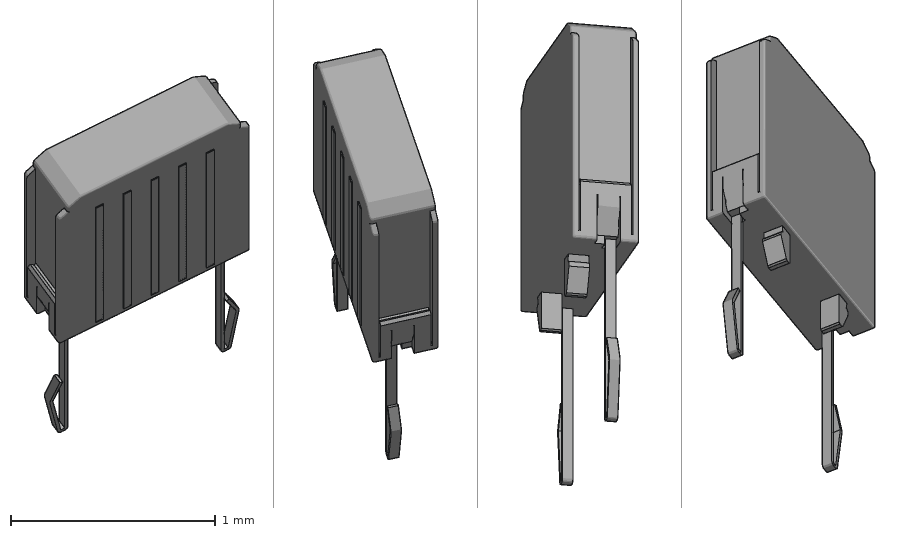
import cadquery as cq

BODY_X = 0.334
BODY_Y = 1.094
BODY_Z = 1.165
LEFT_EDGE_ROUND = 0.010
RIGHT_EDGE_ROUND = 0.014
BOTTOM_ROUND = 0.016

PANEL_DEPTH = 0.050
SHOULDER_Y = 0.075
SHOULDER_Z = 0.045
SHOULDER_SLOPE = SHOULDER_Z / SHOULDER_Y
STEP_Z = 0.078
CORNER_ROUND = 0.03
LEFT_FLANGE = 0.030
RIGHT_FLANGE = 0.032

TONGUE_TOP = 0.314
TONGUE_CHAMFER = 0.015
TONGUE_BACK_Y = 0.036
TONGUE_BACK_DROP = 0.02
SLIT_WIDTH = 0.008
SLIT_BOTTOM = 0.043

SLOT_X = 0.122
SLOT_WIDTH = 0.117
SLOT_TOP = 0.236
SLOT_BEND_Z = 0.16
SLOT_BEND_ROUND = 0.11
SLOT_SLIT_WIDTH = 0.003
SLOT_SLIT_DEPTH = 0.030
SLOT_FLOOR_Z = 0.043
SLOT_DEPTH = 0.050
PIN_POCKET_WIDTH = 0.067
PIN_POCKET_DEPTH = 0.105

PIN_WIDTH = 0.053
PIN_THICKNESS = 0.018
PIN_Y = 0.447
PIN_EMBED = 0.08
PIN_DROP = 0.905
PIN_FOOT_LENGTH = 0.0385
PIN_FOOT_ROUND = 0.019
HOOK_BEND_ROUND = 0.035
HOOK_BEND_Y = 0.533
HOOK_BEND_Z = -0.609
HOOK_TIP_Y = 0.4755
HOOK_TIP_Z = -0.484

BARB_X = 0.032
BARB_WIDTH = 0.104
BARB_EMBED = 0.02
BARB_INNER_Y = 0.242
BARB_ROOT_Y = 0.319
BARB_NECK_Y = 0.313
BARB_TIP_Y = 0.332
BARB_TIP_ROUND = 0.028
BARB_END_Y = 0.279
BARB_NECK_Z = -0.036
BARB_TIP_TOP_Z = -0.048
BARB_TIP_BOTTOM_Z = -0.068
BARB_END_Z = -0.196
BARB_END_CHAMFER = 0.008

BAR_COUNT = 5
BAR_PITCH = 0.158
BAR_WIDTH = 0.043
BAR_HEIGHT = 0.006
BAR_BOTTOM = 0.043
BAR_TOP = 1.013

LEFT = -BODY_X / 2
RIGHT = BODY_X / 2
HALF_Y = BODY_Y / 2
PANEL_Y = HALF_Y - PANEL_DEPTH
FLANGE_TOP = BODY_Z - STEP_Z
RECESS_LEFT = LEFT + LEFT_FLANGE
RECESS_RIGHT = RIGHT - RIGHT_FLANGE
SLOT_LEFT = LEFT + SLOT_X
SLOT_RIGHT = SLOT_LEFT + SLOT_WIDTH
PIN_X = SLOT_RIGHT - PIN_WIDTH / 2
CLEARANCE = 0.05
PICK = 0.001


def prism(points, x_start, x_end):
    """Extrude a (Y, Z) outline between two X positions."""
    return cq.Workplane("YZ", origin=(x_start, 0, 0)).polyline(points).close().extrude(x_end - x_start)


def block(x_range, y_range, z_range):
    """Make a box from its limits along each axis."""
    sizes = [high - low for low, high in (x_range, y_range, z_range)]
    corner = (x_range[0], y_range[0], z_range[0])
    return cq.Workplane("XY").box(*sizes, centered=False).translate(corner)


def both_sides(shape):
    """Join a +Y side shape with its mirror image on the -Y side."""
    return shape.union(shape.mirror("XZ"))


def edges_at(shape, y, z):
    """Select the X-direction edges at both +y and -y, at height z."""
    boxes = []
    for place in (-y, y):
        low = (-BODY_X, place - PICK, z - PICK)
        high = (BODY_X, place + PICK, z + PICK)
        boxes.append(cq.selectors.BoxSelector(low, high))
    return shape.edges("|X").edges(boxes[0] + boxes[1])


def make_envelope():
    """Housing outline with rounded corners and rounded face edges."""
    flange_corner_z = FLANGE_TOP - PANEL_DEPTH * SHOULDER_SLOPE
    half_outline = [
        (HALF_Y, 0),
        (HALF_Y, flange_corner_z),
        (PANEL_Y, FLANGE_TOP),
        (PANEL_Y, BODY_Z - SHOULDER_Z),
        (PANEL_Y - SHOULDER_Y, BODY_Z),
    ]
    outline = half_outline + [(-y, z) for y, z in reversed(half_outline)]
    body = prism(outline, LEFT, RIGHT)
    for y, z in (half_outline[1], half_outline[3], half_outline[4]):
        body = edges_at(body, y, z).fillet(CORNER_ROUND)
    body = edges_at(body, HALF_Y, 0).fillet(BOTTOM_ROUND)
    body = body.faces("<X").edges().fillet(LEFT_EDGE_ROUND)
    return body.faces(">X").edges().fillet(RIGHT_EDGE_ROUND)


def make_panel_recess():
    """Space between the flanges, above and behind the tongue tip."""
    outside = HALF_Y + CLEARANCE
    peak_y = HALF_Y - TONGUE_CHAMFER
    outline = [
        (PANEL_Y, FLANGE_TOP),
        (PANEL_Y, TONGUE_TOP - TONGUE_BACK_DROP),
        (HALF_Y - TONGUE_BACK_Y, TONGUE_TOP - TONGUE_BACK_DROP),
        (peak_y, TONGUE_TOP),
        (HALF_Y, TONGUE_TOP - TONGUE_CHAMFER),
        (outside, TONGUE_TOP - TONGUE_CHAMFER),
        (outside, FLANGE_TOP),
    ]
    recess = prism(outline, RECESS_LEFT, RECESS_RIGHT)
    for slit_left in (RECESS_LEFT, RECESS_RIGHT - SLIT_WIDTH):
        slit_x = (slit_left, slit_left + SLIT_WIDTH)
        recess = recess.union(block(slit_x, (PANEL_Y, outside), (SLIT_BOTTOM, TONGUE_TOP)))
    return recess


def make_pin_slot():
    """Slot with a sloped roof, and the pocket that holds the pin."""
    outside = HALF_Y + CLEARANCE
    back_y = HALF_Y - SLOT_DEPTH
    bend = (HALF_Y, SLOT_BEND_Z)
    outline = [
        (outside, -CLEARANCE),
        (back_y, -CLEARANCE),
        (back_y, SLOT_FLOOR_Z),
        bend,
        (HALF_Y, SLOT_TOP),
        (outside, SLOT_TOP),
    ]
    slot = prism(outline, SLOT_LEFT, SLOT_RIGHT)
    near_bend = cq.selectors.NearestToPointSelector(((SLOT_LEFT + SLOT_RIGHT) / 2, *bend))
    slot = slot.edges("|X").edges(near_bend).fillet(SLOT_BEND_ROUND)
    for slit_left in (SLOT_LEFT, SLOT_RIGHT - SLOT_SLIT_WIDTH):
        slit_x = (slit_left, slit_left + SLOT_SLIT_WIDTH)
        slot = slot.union(block(slit_x, (HALF_Y - SLOT_SLIT_DEPTH, outside), (SLOT_FLOOR_Z, SLOT_TOP)))
    pocket_x = (SLOT_RIGHT - PIN_POCKET_WIDTH, SLOT_RIGHT)
    pocket_y = (HALF_Y - PIN_POCKET_DEPTH, HALF_Y - SLOT_DEPTH + CLEARANCE)
    return slot.union(block(pocket_x, pocket_y, (-CLEARANCE, SLOT_FLOOR_Z)))


def make_pin():
    """Straight leg bent back up into an outward hook."""
    foot_z = PIN_THICKNESS / 2 - PIN_DROP
    path = cq.Workplane("YZ", origin=(PIN_X, 0, 0)).polyline([
        (PIN_Y, PIN_EMBED),
        (PIN_Y, foot_z),
        (PIN_Y + PIN_FOOT_LENGTH, foot_z),
        (HOOK_BEND_Y, HOOK_BEND_Z),
        (HOOK_TIP_Y, HOOK_TIP_Z),
    ])
    section = cq.Workplane("XY", origin=(PIN_X, PIN_Y, PIN_EMBED)).rect(PIN_WIDTH, PIN_THICKNESS)
    pin = section.sweep(path, transition="right")
    half = PIN_THICKNESS / 2
    outer_bends = [
        (PIN_Y - half, -PIN_DROP, PIN_FOOT_ROUND),
        (PIN_Y + PIN_FOOT_LENGTH + half, -PIN_DROP, PIN_FOOT_ROUND),
        (HOOK_BEND_Y + half, HOOK_BEND_Z, HOOK_BEND_ROUND),
    ]
    for y, z, radius in outer_bends:
        near_bend = cq.selectors.NearestToPointSelector((PIN_X, y, z))
        pin = pin.edges("|X").edges(near_bend).fillet(radius)
    return pin


def make_barb():
    """Snap-in foot with an outward barb."""
    outline = [
        (BARB_INNER_Y, BARB_EMBED),
        (BARB_ROOT_Y, BARB_EMBED),
        (BARB_ROOT_Y, 0),
        (BARB_NECK_Y, BARB_NECK_Z),
        (BARB_TIP_Y, BARB_TIP_TOP_Z),
        (BARB_TIP_Y, BARB_TIP_BOTTOM_Z),
        (BARB_END_Y, BARB_END_Z + BARB_END_CHAMFER),
        (BARB_END_Y - BARB_END_CHAMFER, BARB_END_Z),
        (BARB_INNER_Y + BARB_END_CHAMFER, BARB_END_Z),
        (BARB_INNER_Y, BARB_END_Z + BARB_END_CHAMFER),
    ]
    barb_left = LEFT + BARB_X
    barb = prism(outline, barb_left, barb_left + BARB_WIDTH)
    near_tip = cq.selectors.NearestToPointSelector((barb_left + BARB_WIDTH / 2, BARB_TIP_Y, BARB_TIP_TOP_Z))
    return barb.edges("|X").edges(near_tip).fillet(BARB_TIP_ROUND)


def make_bar(index):
    """One raised vertical bar on the +X face."""
    y = (index - (BAR_COUNT - 1) / 2) * BAR_PITCH
    bar_y = (y - BAR_WIDTH / 2, y + BAR_WIDTH / 2)
    return block((RIGHT - BAR_HEIGHT, RIGHT + BAR_HEIGHT), bar_y, (BAR_BOTTOM, BAR_TOP))


result = make_envelope()
for cutter in (make_panel_recess(), make_pin_slot()):
    result = result.cut(both_sides(cutter))
for feature in (make_pin(), make_barb()):
    result = result.union(both_sides(feature))
for bar_index in range(BAR_COUNT):
    result = result.union(make_bar(bar_index))